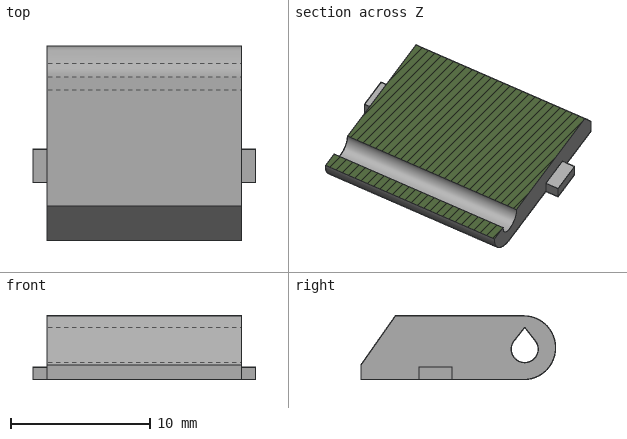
import cadquery as cq
import math

overall_width = 16.02
body_width = 14.0
body_length = 14.0
body_height = 4.6
slope_run = 2.48
front_height = 1.05

tab_length = 2.4
tab_height = 0.91
tab_front_offset = 4.17

hole_radius = 0.96
hole_center_height = 2.2
hole_end_offset = 2.23
hole_peak_rise = 1.55

end_radius = body_height / 2
arc_start_y = body_length - end_radius
hole_y = body_length - hole_end_offset


def extrude_across(profile, width):
    """Extrude a YZ profile symmetrically about the X = 0 plane."""
    return profile.extrude(width / 2, both=True)


def make_body():
    profile = (
        cq.Workplane("YZ")
        .moveTo(0, 0)
        .lineTo(arc_start_y, 0)
        .threePointArc((body_length, end_radius), (arc_start_y, body_height))
        .lineTo(slope_run, body_height)
        .lineTo(0, front_height)
        .close()
    )
    return extrude_across(profile, body_width)


def make_tabs():
    profile = (
        cq.Workplane("YZ")
        .moveTo(tab_front_offset, 0)
        .rect(tab_length, tab_height, centered=False)
    )
    return extrude_across(profile, overall_width)


def make_hinge_hole():
    tangent_rise = hole_radius**2 / hole_peak_rise
    tangent_offset = math.sqrt(hole_radius**2 - tangent_rise**2)
    tangent_z = hole_center_height + tangent_rise
    profile = (
        cq.Workplane("YZ")
        .moveTo(hole_y, hole_center_height + hole_peak_rise)
        .lineTo(hole_y + tangent_offset, tangent_z)
        .threePointArc(
            (hole_y, hole_center_height - hole_radius),
            (hole_y - tangent_offset, tangent_z),
        )
        .close()
    )
    return extrude_across(profile, overall_width)


result = make_body().union(make_tabs()).cut(make_hinge_hole())